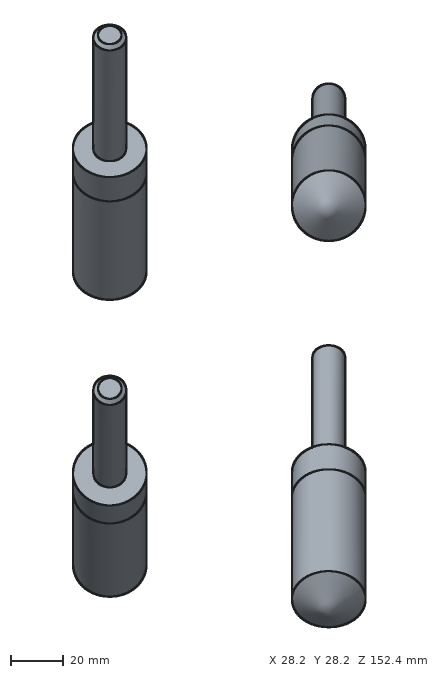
import cadquery as cq

total_length = 152.4
head_diameter = 28.2
shank_diameter = 12.6
point_height = 8.5
shank_length = 69.0
collar_height = 14.8
shank_chamfer_height = 1.5
shank_chamfer_width = 1.8

tip_z = -total_length / 2
shank_top_z = total_length / 2
point_base_z = tip_z + point_height
collar_top_z = shank_top_z - shank_length
collar_bottom_z = collar_top_z - collar_height

head_radius = head_diameter / 2
shank_radius = shank_diameter / 2


def revolve_about_z(profile):
    """Turn a closed (radius, z) profile into a solid of revolution about Z."""
    return cq.Workplane("XZ").polyline(profile).close().revolve(360, (0, 0), (0, 1))


def make_pointed_head():
    """Cylindrical head with a conical point at its lower end."""
    return revolve_about_z([
        (0, tip_z),
        (head_radius, point_base_z),
        (head_radius, collar_bottom_z),
        (0, collar_bottom_z),
    ])


def make_collared_shank():
    """Collar that sits on the head, with a slim shank chamfered at its top."""
    return revolve_about_z([
        (0, collar_bottom_z),
        (head_radius, collar_bottom_z),
        (head_radius, collar_top_z),
        (shank_radius, collar_top_z),
        (shank_radius, shank_top_z - shank_chamfer_height),
        (shank_radius - shank_chamfer_width, shank_top_z),
        (0, shank_top_z),
    ])


pointed_head = make_pointed_head()
collared_shank = make_collared_shank()

result = cq.Compound.makeCompound([pointed_head.val(), collared_shank.val()])